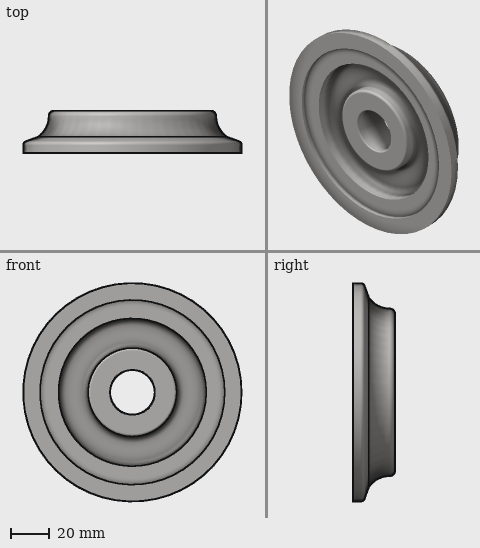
import cadquery as cq
import math

quarter_turn = math.pi / 2

flange_radius = 112.8 / 2
total_width = 21.9

rim_radius = 43.3
rim_fillet = 3.0
cove_radius = 12.7
cove_end_depth = 8.3
cone_angle = math.radians(20)
flange_fillet = 2.1

recess_radius = 95.3 / 2
recess_depth = 2.5
pocket_radius = 76.2 / 2
pocket_depth = 11.4
floor_fillet = 3.2

boss_radius = 45.7 / 2
boss_face_depth = 2.9
boss_edge_fillet = 1.4

bore_radius = 22.9 / 2
bore_edge_fillet = 0.7
straight_bore_end_depth = 9.9
bore_draft_angle = math.radians(2)


def arc_point(center, radius, angle):
    """Point of a circle in the section plane, angle measured from the radial direction."""
    return (
        center[0] + radius * math.cos(angle),
        center[1] + radius * math.sin(angle),
    )


def add_arc(section, center, radius, start_angle, end_angle):
    """Arc from the current point, which lies on the circle at start_angle."""
    middle_angle = (start_angle + end_angle) / 2
    return section.threePointArc(
        arc_point(center, radius, middle_angle),
        arc_point(center, radius, end_angle),
    )


def add_line_and_arc(section, center, radius, start_angle, end_angle):
    """Straight line to the start of an arc, then the arc itself."""
    section = section.lineTo(*arc_point(center, radius, start_angle))
    return add_arc(section, center, radius, start_angle, end_angle)


def add_outer_surface(section):
    """Rounded rim, concave cove, cone and flange, from the back face to the flange face."""
    rim_center = (rim_radius - rim_fillet, total_width - rim_fillet)
    section = add_line_and_arc(section, rim_center, rim_fillet, quarter_turn, 0)

    cove_center = (rim_radius + cove_radius, rim_center[1])
    cove_sweep = math.asin((cove_center[1] - cove_end_depth) / cove_radius)
    cove_end_angle = math.pi + cove_sweep
    section = add_arc(section, cove_center, cove_radius, math.pi, cove_end_angle)

    cove_end = arc_point(cove_center, cove_radius, cove_end_angle)
    corner_center_radius = flange_radius - flange_fillet
    cone_normal = quarter_turn - cone_angle
    cone_end_radius = corner_center_radius + flange_fillet * math.cos(cone_normal)
    cone_drop = (cone_end_radius - cove_end[0]) * math.tan(cone_angle)
    corner_center_depth = cove_end_depth - cone_drop - flange_fillet * math.sin(cone_normal)
    corner_center = (corner_center_radius, corner_center_depth)
    section = add_line_and_arc(section, corner_center, flange_fillet, cone_normal, 0)
    return section.lineTo(flange_radius, 0)


def add_front_side(section):
    """Recess, pocket with rounded floor corners, boss and straight bore, working inwards."""
    section = (
        section.lineTo(recess_radius, 0)
        .lineTo(recess_radius, recess_depth)
        .lineTo(pocket_radius, recess_depth)
    )
    floor_center_depth = pocket_depth - floor_fillet
    outer_center = (pocket_radius - floor_fillet, floor_center_depth)
    inner_center = (boss_radius + floor_fillet, floor_center_depth)
    section = add_line_and_arc(section, outer_center, floor_fillet, 0, quarter_turn)
    section = add_line_and_arc(section, inner_center, floor_fillet, quarter_turn, math.pi)

    boss_edge_center = (boss_radius - boss_edge_fillet, boss_face_depth + boss_edge_fillet)
    section = add_line_and_arc(section, boss_edge_center, boss_edge_fillet, 0, -quarter_turn)

    bore_edge_center = (bore_radius + bore_edge_fillet, boss_face_depth + bore_edge_fillet)
    section = add_line_and_arc(section, bore_edge_center, bore_edge_fillet, -quarter_turn, -math.pi)
    return section.lineTo(bore_radius, straight_bore_end_depth)


drafted_length = total_width - straight_bore_end_depth
back_bore_radius = bore_radius + drafted_length * math.tan(bore_draft_angle)

half_section = cq.Workplane("XY").moveTo(back_bore_radius, total_width)
half_section = add_outer_surface(half_section)
half_section = add_front_side(half_section).close()

result = half_section.revolve(360, (0, 0, 0), (0, 1, 0))

result = result.translate((0, -total_width / 2, 0))